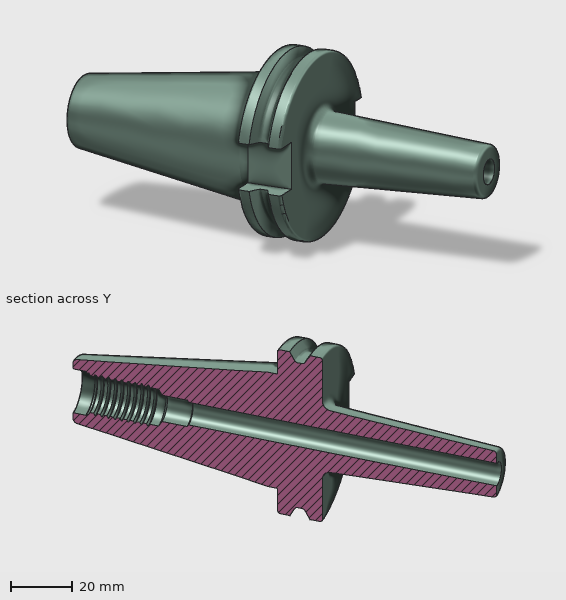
import cadquery as cq
import math

TAPER_LENGTH = 68.25
FLANGE_BACK = 3.18
FLANGE_FRONT = 19.05
NOSE_TIP = 80.0

GAUGE_DIAMETER = 44.45
TAPER_RATIO = 7 / 24
SHANK_EDGE_RADIUS = 1.9

FLANGE_DIAMETER = 63.5
FLANGE_BACK_RADIUS = 1.3
FLANGE_FRONT_RADIUS = 1.0
GROOVE_CENTER = 11.1
GROOVE_MOUTH = 7.04
GROOVE_FLOOR_DIAMETER = 56.2
GROOVE_WALL_ANGLE = 30.0
GROOVE_FLOOR_RADIUS = 1.0
SLOT_WIDTH = 16.1
DEEP_SLOT_FLOOR = 22.6
SHALLOW_SLOT_FLOOR = 25.0

NOSE_TIP_DIAMETER = 18.0
NOSE_ANGLE = 3.0
NOSE_ROOT_RADIUS = 3.0
NOSE_EDGE_RADIUS = 1.4

COUNTERBORE_DIAMETER = 16.8
COUNTERBORE_DEPTH = 4.75
COUNTERBORE_EDGE_RADIUS = 0.5
THREAD_MAJOR_DIAMETER = 15.88
THREAD_MINOR_DIAMETER = 14.0
THREAD_PITCH = 25.4 / 11
THREAD_FLANK_ANGLE = 30.0
THREAD_RELIEF_LENGTH = 0.8
THREAD_RING_COUNT = 9
THREAD_BORE_DEPTH = 30.0
STEP_DIAMETER = 10.0
STEP_DEPTH = 40.0
THROUGH_HOLE_DIAMETER = 8.53
DRILL_POINT_ANGLE = 59.0


def revolve_profile(points):
    """Revolve a closed (x, radius) outline around the X axis."""
    outline = cq.Workplane("XY").polyline(points).close()
    return outline.revolve(360, (0, 0, 0), (1, 0, 0))


def round_circle(body, x, radius, fillet):
    """Round the circular edge of the given radius at station x."""
    tolerance = 0.01
    edges = [
        edge
        for edge in body.edges("%CIRCLE").vals()
        if abs(edge.Center().x - x) < tolerance and abs(edge.radius() - radius) < tolerance
    ]
    return body.newObject(edges).fillet(fillet)


def make_body():
    """Shank, grooved flange and nose, with their rounded edges."""
    gauge_radius = GAUGE_DIAMETER / 2
    shank_end_radius = gauge_radius - TAPER_LENGTH * TAPER_RATIO / 2
    flange_radius = FLANGE_DIAMETER / 2
    groove_floor = GROOVE_FLOOR_DIAMETER / 2
    groove_depth = flange_radius - groove_floor
    mouth_half = GROOVE_MOUTH / 2
    floor_half = mouth_half - groove_depth * math.tan(math.radians(GROOVE_WALL_ANGLE))
    tip_radius = NOSE_TIP_DIAMETER / 2
    root_radius = tip_radius + (NOSE_TIP - FLANGE_FRONT) * math.tan(math.radians(NOSE_ANGLE))

    body = revolve_profile([
        (-TAPER_LENGTH, 0),
        (-TAPER_LENGTH, shank_end_radius),
        (0, gauge_radius),
        (FLANGE_BACK, gauge_radius),
        (FLANGE_BACK, flange_radius),
        (GROOVE_CENTER - mouth_half, flange_radius),
        (GROOVE_CENTER - floor_half, groove_floor),
        (GROOVE_CENTER + floor_half, groove_floor),
        (GROOVE_CENTER + mouth_half, flange_radius),
        (FLANGE_FRONT, flange_radius),
        (FLANGE_FRONT, root_radius),
        (NOSE_TIP, tip_radius),
        (NOSE_TIP, 0),
    ])
    for x, radius, fillet in (
        (-TAPER_LENGTH, shank_end_radius, SHANK_EDGE_RADIUS),
        (FLANGE_BACK, flange_radius, FLANGE_BACK_RADIUS),
        (GROOVE_CENTER - floor_half, groove_floor, GROOVE_FLOOR_RADIUS),
        (GROOVE_CENTER + floor_half, groove_floor, GROOVE_FLOOR_RADIUS),
        (FLANGE_FRONT, flange_radius, FLANGE_FRONT_RADIUS),
        (FLANGE_FRONT, root_radius, NOSE_ROOT_RADIUS),
        (NOSE_TIP, tip_radius, NOSE_EDGE_RADIUS),
    ):
        body = round_circle(body, x, radius, fillet)
    return body


def make_drive_slot(floor, side):
    """Slot through the flange along X; side is +1 or -1 along Y."""
    depth = FLANGE_DIAMETER / 2
    length = FLANGE_FRONT - FLANGE_BACK
    center = ((FLANGE_BACK + FLANGE_FRONT) / 2, side * (floor + depth / 2), 0)
    return cq.Workplane("XY").box(length, depth, SLOT_WIDTH).translate(center)


def drill_point_length(large_diameter, small_diameter):
    """Axial length of the drill-point cone between two diameters."""
    radial_step = (large_diameter - small_diameter) / 2
    return radial_step / math.tan(math.radians(DRILL_POINT_ANGLE))


def thread_flank_length():
    """Axial length of one thread flank."""
    thread_depth = (THREAD_MAJOR_DIAMETER - THREAD_MINOR_DIAMETER) / 2
    return thread_depth * math.tan(math.radians(THREAD_FLANK_ANGLE))


def make_bore():
    """Counterbore, thread core, step and through hole as one cutter."""
    counterbore_radius = COUNTERBORE_DIAMETER / 2
    major_radius = THREAD_MAJOR_DIAMETER / 2
    minor_radius = THREAD_MINOR_DIAMETER / 2
    step_radius = STEP_DIAMETER / 2
    hole_radius = THROUGH_HOLE_DIAMETER / 2
    back = -TAPER_LENGTH
    ledge = back + COUNTERBORE_DEPTH
    relief_end = ledge + THREAD_RELIEF_LENGTH
    thread_end = back + THREAD_BORE_DEPTH
    step_end = back + STEP_DEPTH
    return revolve_profile([
        (back, 0),
        (back, counterbore_radius),
        (ledge, counterbore_radius),
        (ledge, major_radius),
        (relief_end, major_radius),
        (relief_end + thread_flank_length(), minor_radius),
        (thread_end, minor_radius),
        (thread_end + drill_point_length(THREAD_MINOR_DIAMETER, STEP_DIAMETER), step_radius),
        (step_end, step_radius),
        (step_end + drill_point_length(STEP_DIAMETER, THROUGH_HOLE_DIAMETER), hole_radius),
        (NOSE_TIP, hole_radius),
        (NOSE_TIP, 0),
    ])


def cut_thread_rings(body):
    """Cut the thread as evenly spaced V-shaped rings in the core bore."""
    major_radius = THREAD_MAJOR_DIAMETER / 2
    minor_radius = THREAD_MINOR_DIAMETER / 2
    half_width = thread_flank_length()
    thread_start = -TAPER_LENGTH + COUNTERBORE_DEPTH + THREAD_RELIEF_LENGTH
    for index in range(1, THREAD_RING_COUNT + 1):
        root = thread_start + index * THREAD_PITCH
        ring = revolve_profile([
            (root - half_width, 0),
            (root - half_width, minor_radius),
            (root, major_radius),
            (root + half_width, minor_radius),
            (root + half_width, 0),
        ])
        body = body.cut(ring)
    return body


body = make_body()
body = body.cut(make_drive_slot(DEEP_SLOT_FLOOR, -1))
body = body.cut(make_drive_slot(SHALLOW_SLOT_FLOOR, 1))
body = body.cut(make_bore())
body = round_circle(body, -TAPER_LENGTH, COUNTERBORE_DIAMETER / 2, COUNTERBORE_EDGE_RADIUS)
result = cut_thread_rings(body)